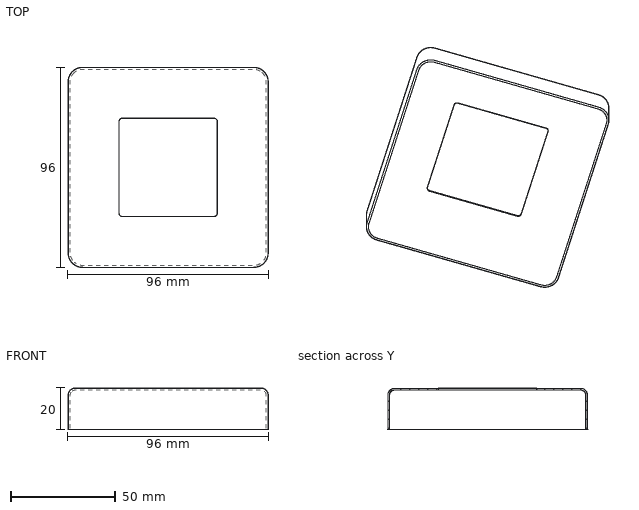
import cadquery as cq

SIDE = 96.0
HEIGHT = 20.0
CORNER_RADIUS = 7.0
TOP_FILLET = 3.5
WALL = 1.0
OPENING_SIDE = 47.0
OPENING_CORNER_RADIUS = 1.5


def rounded_cap(side, height, corner_radius, top_fillet):
    """Square block standing on Z = 0 with rounded corners and a rounded top rim."""
    block = cq.Workplane("XY").rect(side, side).extrude(height)
    block = block.edges("|Z").fillet(corner_radius)
    return block.faces(">Z").edges().fillet(top_fillet)


def square_opening():
    """Rounded square cutter that passes through the full height."""
    cutter = cq.Workplane("XY").rect(OPENING_SIDE, OPENING_SIDE).extrude(HEIGHT)
    return cutter.edges("|Z").fillet(OPENING_CORNER_RADIUS)


outer = rounded_cap(SIDE, HEIGHT, CORNER_RADIUS, TOP_FILLET)
cavity = rounded_cap(
    SIDE - 2 * WALL,
    HEIGHT - WALL,
    CORNER_RADIUS - WALL,
    TOP_FILLET - WALL,
)

result = outer.cut(cavity).cut(square_opening())